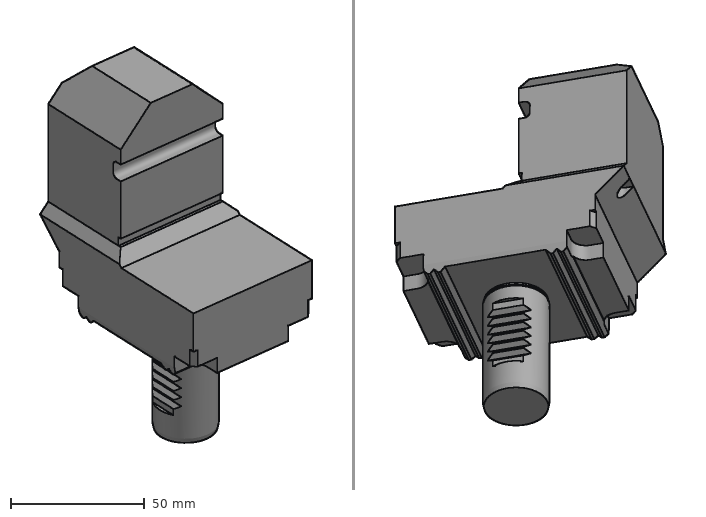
import cadquery as cq


base_half_length = 38.9
base_half_depth = 29.0
base_top = 31.5
base_rim_z = 0.5
draft_top = 2.1
draft_inset = 0.7

head_left = -50.0
head_right = -8.0
head_half_depth = 25.0
head_top = 94.4
side_bevel = 14.7
front_bevel = 8.0
foot_top = 36.6
foot_bottom = foot_top - (base_half_depth - head_half_depth)

slot_bottom = 65.6
slot_height = 7.5
slot_depth = 4.5
slot_radius = 2.3
relief_depth = 1.3
relief_height = 3.7

pitch = 4.0
tooth_height = 1.9
tooth_tip_width = 1.0
tooth_x = 23.9
groove_depth = 1.7
groove_count = 6

pocket_x = 27.9
pocket_y = 17.5
pocket_top = 7.2
pocket_radius = 5.7
corner_chamfer = 2.0
corner_chamfer_top = 14.5

recess_y = 18.0
recess_width = 5.1
recess_reach = 5.6

shank_diameter = 25.0
shank_length = 48.6
neck_diameter = 24.2
neck_length = 0.9
neck_taper_length = 0.9
tip_diameter = 24.2
tip_length = 2.1
flat_y = 11.0
flat_top = -7.5
flat_bottom = -36.6
first_groove_z = -12.2


def box(x_range, y_range, z_range):
    """Box spanning the given (low, high) ranges."""
    ranges = (x_range, y_range, z_range)
    size = [high - low for low, high in ranges]
    corner = tuple(low for low, high in ranges)
    return cq.Workplane("XY").box(*size, centered=False).translate(corner)


def length_profile():
    """Body outline in XZ, extruded over the full depth."""
    overhang = -base_half_length - head_left
    foot_run = foot_top - base_top
    outline = [
        (-base_half_length, base_rim_z),
        (-base_half_length, foot_bottom - overhang),
        (head_left, foot_bottom),
        (head_left, head_top - front_bevel),
        (head_left + front_bevel, head_top),
        (head_right, head_top),
        (head_right, foot_top),
        (head_right + foot_run, base_top),
        (base_half_length, base_top),
        (base_half_length, base_rim_z),
        (pocket_x, base_rim_z),
        (pocket_x, 0),
        (-pocket_x, 0),
        (-pocket_x, base_rim_z),
    ]
    body = cq.Workplane("XZ").polyline(outline).close().extrude(base_half_depth, both=True)
    for side in (-1, 1):
        for offset in (-pitch / 2, pitch / 2):
            body = body.union(tooth(side * tooth_x + offset))
    return body


def tooth(x):
    """Base serration with 45 degree flanks, running along Y."""
    tip = tooth_tip_width / 2
    root = tip + tooth_height
    outline = [
        (x - root, base_rim_z),
        (x - root, 0),
        (x - tip, -tooth_height),
        (x + tip, -tooth_height),
        (x + root, 0),
        (x + root, base_rim_z),
    ]
    return cq.Workplane("XZ").polyline(outline).close().extrude(base_half_depth, both=True)


def depth_profile():
    """Body outline in YZ, extruded over the full length."""
    half = [
        (base_half_depth - draft_inset, -tooth_height),
        (base_half_depth, draft_top),
        (base_half_depth, foot_bottom),
        (head_half_depth, foot_top),
        (head_half_depth, head_top - side_bevel),
        (head_half_depth - side_bevel, head_top),
    ]
    outline = half + [(-y, z) for y, z in reversed(half)]
    profile = cq.Workplane("YZ").workplane(offset=head_left).polyline(outline).close()
    return profile.extrude(base_half_length - head_left)


def head_grooves():
    """Round-cornered slot and small relief across the +X face of the head."""
    across = (-base_half_depth, base_half_depth)
    slot = box((head_right - slot_depth, head_right), across, (slot_bottom, slot_bottom + slot_height))
    slot = slot.edges("|Y and <X").fillet(slot_radius)
    relief = box((head_right - relief_depth, head_right), across, (foot_top, foot_top + relief_height))
    return slot.union(relief)


def underside_recess():
    """Upright round-ended recess, open through the slope below the head."""
    radius = recess_width / 2
    centre_x = head_left + recess_reach - radius
    floor = foot_bottom - recess_reach
    across = (recess_y - radius, recess_y + radius)
    mouth = box((head_left, centre_x), across, (floor, foot_bottom))
    round_end = cq.Workplane("XY", origin=(centre_x, recess_y, floor)).circle(radius).extrude(recess_reach)
    return mouth.union(round_end)


def corner_cut():
    """Pocket and vertical chamfer of the +X +Y base corner."""
    pocket = box(
        (pocket_x, base_half_length),
        (pocket_y, base_half_depth),
        (-tooth_height, pocket_top),
    )
    pocket = pocket.edges("|Z and <X and <Y").fillet(pocket_radius)
    chamfer = (
        cq.Workplane("XY", origin=(base_half_length, base_half_depth, 0))
        .polyline([(0, 0), (-corner_chamfer, 0), (0, -corner_chamfer)])
        .close()
        .extrude(corner_chamfer_top)
    )
    return pocket.union(chamfer)


def shank():
    """Stepped round shank with a serrated flat on its -Y and +Y sides."""
    radius = shank_diameter / 2
    outline = [
        (0, base_rim_z),
        (neck_diameter / 2, base_rim_z),
        (neck_diameter / 2, -neck_length),
        (radius, -neck_length - neck_taper_length),
        (radius, tip_length - shank_length),
        (tip_diameter / 2, -shank_length),
        (0, -shank_length),
    ]
    body = cq.Workplane("XZ").polyline(outline).close().revolve(360, (0, 0), (0, 1))
    flat = box((-radius, radius), (flat_y, radius), (flat_bottom, flat_top))
    for index in range(groove_count):
        flat = flat.union(shank_groove(first_groove_z - index * pitch))
    return body.cut(flat).cut(flat.mirror("XZ"))


def shank_groove(z):
    """90 degree V groove across the +Y side of the shank."""
    radius = shank_diameter / 2
    root_y = flat_y - groove_depth
    half_mouth = radius - root_y
    outline = [(root_y, z), (radius, z + half_mouth), (radius, z - half_mouth)]
    return cq.Workplane("YZ").polyline(outline).close().extrude(radius, both=True)


result = length_profile().intersect(depth_profile())
result = result.cut(head_grooves()).cut(underside_recess())

corner = corner_cut()
for tool in (corner, corner.mirror("YZ")):
    result = result.cut(tool).cut(tool.mirror("XZ"))

result = result.union(shank())